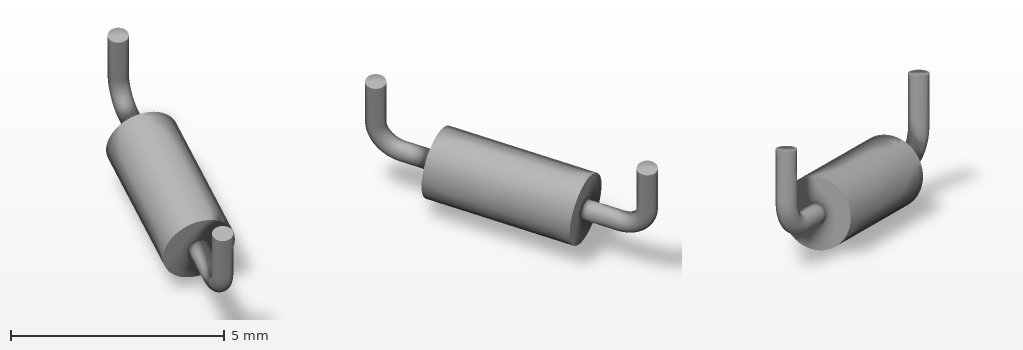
import cadquery as cq

BODY_LENGTH = 3.82
BODY_DIAMETER = 1.8
LEAD_DIAMETER = 0.5
LEAD_PITCH = 7.0
LEAD_HEIGHT = 2.0
BEND_RADIUS = 0.7

half_pitch = LEAD_PITCH / 2
bend_start_x = half_pitch - BEND_RADIUS


def make_body():
    """Cylinder centred on the origin with its axis along X."""
    return cq.Workplane("YZ").circle(BODY_DIAMETER / 2).extrude(BODY_LENGTH / 2, both=True)


def make_lead():
    """Lead on the +X side: from the body centre outward, then bent up to its tip."""
    path = (
        cq.Workplane("XZ")
        .lineTo(bend_start_x, 0)
        .radiusArc((half_pitch, BEND_RADIUS), -BEND_RADIUS)
        .lineTo(half_pitch, LEAD_HEIGHT)
    )
    return cq.Workplane("YZ").circle(LEAD_DIAMETER / 2).sweep(path)


right_lead = make_lead()
left_lead = right_lead.mirror("YZ")
result = make_body().union(right_lead).union(left_lead)